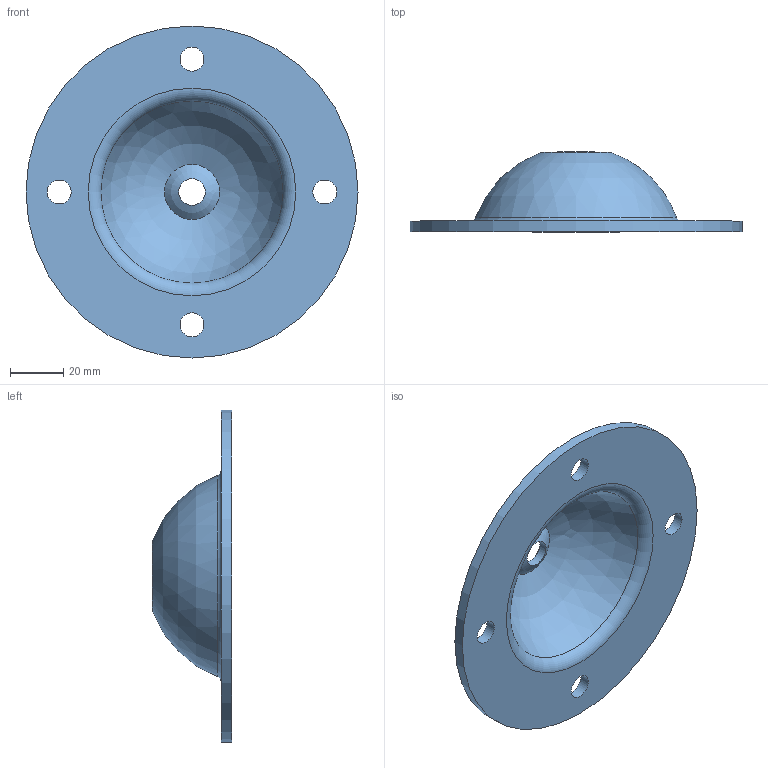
import cadquery as cq
import math

flange_diameter = 125.0
sheet_thickness = 4.0
bolt_hole_diameter = 9.0
bolt_circle_diameter = 100.0
bolt_count = 4


overall_depth = 30.0
dome_center = (0, -8.25)
dome_outer_radius = 40.25
dome_inner_radius = dome_outer_radius - sheet_thickness
mouth_fillet_radius = 5.0
root_fillet_radius = 2.0

dimple_center = (0, 36.3)
dimple_wall = 3.0
rim_fillet_radius = 5.0
center_hole_diameter = 10.0


def radius_at(center, sphere_radius, y):
    """Distance from the Y axis of a sphere's surface at the given Y."""
    return math.sqrt(sphere_radius**2 - (y - center[1]) ** 2)


def toward(start, target, distance):
    """Point at the given distance from start, on the ray through target."""
    share = distance / math.dist(start, target)
    return (
        start[0] + share * (target[0] - start[0]),
        start[1] + share * (target[1] - start[1]),
    )


def arc_middle(center, start, end):
    """Middle of the shorter arc between two points of a circle."""
    chord_middle = ((start[0] + end[0]) / 2, (start[1] + end[1]) / 2)
    return toward(center, chord_middle, math.dist(center, start))


def arc_to(profile, center, start, end):
    """Continue the profile along the circle about center."""
    return profile.threePointArc(arc_middle(center, start, end), end)


def revolved_shell():
    """Flange, dome and dimple as one (radius, Y) profile turned about the Y axis."""
    flange_radius = flange_diameter / 2
    hole_radius = center_hole_diameter / 2

    root_y = sheet_thickness + root_fillet_radius
    root_center = (radius_at(dome_center, dome_outer_radius + root_fillet_radius, root_y), root_y)
    rim_y = overall_depth - rim_fillet_radius
    rim_center = (radius_at(dome_center, dome_outer_radius - rim_fillet_radius, rim_y), rim_y)
    mouth_y = mouth_fillet_radius
    mouth_center = (radius_at(dome_center, dome_inner_radius + mouth_fillet_radius, mouth_y), mouth_y)

    dimple_radius = math.dist(dimple_center, rim_center) - rim_fillet_radius
    bulge_radius = dimple_radius + dimple_wall

    root_start = (root_center[0], sheet_thickness)
    root_end = toward(dome_center, root_center, dome_outer_radius)
    rim_start = toward(dome_center, rim_center, dome_outer_radius)
    rim_top = (rim_center[0], overall_depth)
    rim_end = toward(dimple_center, rim_center, dimple_radius)
    hole_back = (hole_radius, dimple_center[1] - math.sqrt(dimple_radius**2 - hole_radius**2))

    hole_front = (hole_radius, dimple_center[1] - math.sqrt(bulge_radius**2 - hole_radius**2))
    center_gap = dimple_center[1] - dome_center[1]
    ring_height = (dome_inner_radius**2 - bulge_radius**2 + center_gap**2) / (2 * center_gap)
    ring_y = dome_center[1] + ring_height
    bulge_ring = (radius_at(dome_center, dome_inner_radius, ring_y), ring_y)
    mouth_end = toward(dome_center, mouth_center, dome_inner_radius)
    mouth_start = (mouth_center[0], 0)

    profile = cq.Workplane("XY").moveTo(*mouth_start)
    profile = profile.lineTo(flange_radius, 0)
    profile = profile.lineTo(flange_radius, sheet_thickness)
    profile = profile.lineTo(*root_start)
    profile = arc_to(profile, root_center, root_start, root_end)
    profile = arc_to(profile, dome_center, root_end, rim_start)
    profile = profile.threePointArc(rim_top, rim_end)
    profile = arc_to(profile, dimple_center, rim_end, hole_back)
    profile = profile.lineTo(*hole_front)
    profile = arc_to(profile, dimple_center, hole_front, bulge_ring)
    profile = arc_to(profile, dome_center, bulge_ring, mouth_end)
    profile = arc_to(profile, mouth_center, mouth_end, mouth_start)
    return profile.close().revolve(360, (0, 0), (0, 1))


def bolt_holes():
    """Through holes spaced evenly around the flange."""
    return (
        cq.Workplane("XZ")
        .polarArray(bolt_circle_diameter / 2, 0, 360, bolt_count)
        .circle(bolt_hole_diameter / 2)
        .extrude(-sheet_thickness)
    )


result = revolved_shell().cut(bolt_holes())